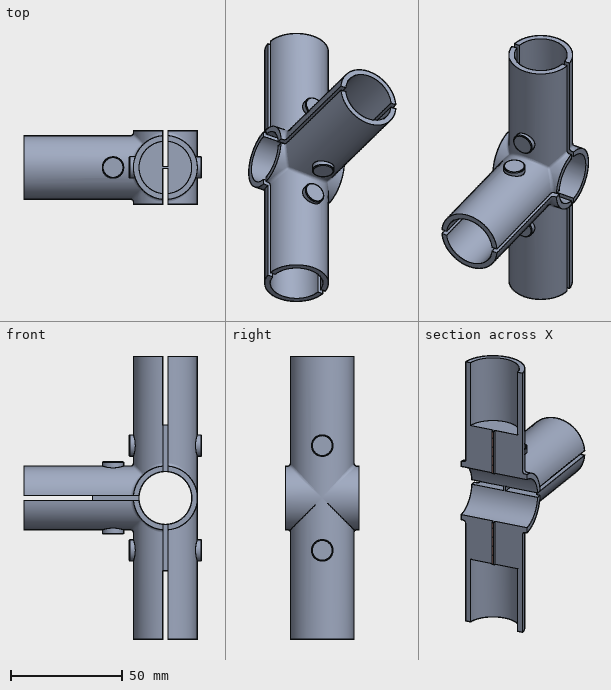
import cadquery as cq

tube_diameter = 28.7
bore_diameter = 23.6
arm_length = 63.5
hub_length = 33.0
plug_end = 32.8
slot_width = 2.2
web_thickness = 1.0
crease_radius = 1.3
pad_diameter = 9.7
pad_reach = 16.3
pad_position = 23.5
pad_edge = 0.4

slot_depth = (hub_length - web_thickness) / 2
slot_offset = (hub_length + web_thickness) / 4

origin = cq.Vector(0, 0, 0)
x_axis = cq.Vector(1, 0, 0)
y_axis = cq.Vector(0, 1, 0)
z_axis = cq.Vector(0, 0, 1)
arm_directions = (-x_axis, z_axis, -z_axis)


def cylinder(diameter, start, end, direction):
    """Round bar along a direction, between two distances from the origin."""
    solid = cq.Solid.makeCylinder(diameter / 2, end - start, origin + direction * start, direction)
    return cq.Workplane(obj=solid)


def pad(arm, side):
    """Round pad on one side of an arm, with its outer edge broken."""
    base = arm * pad_position
    solid = cq.Solid.makeCylinder(pad_diameter / 2, pad_reach, base, side)
    outer_edge = max(solid.Edges(), key=lambda edge: edge.Center().dot(side))
    return cq.Workplane(obj=solid.chamfer(pad_edge, None, [outer_edge]))


def slot(arm, y_side):
    """Slot along an arm, cut from one Y face down to the central web."""
    along_x = arm_length if arm.x else slot_width
    along_z = arm_length if arm.z else slot_width
    centre = arm * (arm_length / 2) + y_axis * (y_side * slot_offset)
    return cq.Workplane().box(along_x, slot_depth, along_z).translate(centre)


crossing = cylinder(tube_diameter, -arm_length, arm_length, z_axis)
crossing = crossing.union(cylinder(tube_diameter, -hub_length / 2, hub_length / 2, y_axis))
crossing = crossing.union(cylinder(tube_diameter, 0, arm_length, -x_axis))
creases = [edge for edge in crossing.edges().vals() if edge.geomType() == "ELLIPSE"]
blended = crossing.newObject(creases).fillet(crease_radius)

sharp_corner = cq.Workplane().box(arm_length, hub_length, arm_length)
sharp_corner = sharp_corner.translate((arm_length / 2, 0, -arm_length / 2))
result = blended.cut(sharp_corner).union(crossing.intersect(sharp_corner))

for arm in arm_directions:
    side = z_axis if arm.x else x_axis
    result = result.union(pad(arm, side)).union(pad(arm, -side))

for arm in arm_directions:
    result = result.cut(cylinder(bore_diameter, plug_end, arm_length, arm))
result = result.cut(cylinder(bore_diameter, -hub_length / 2, hub_length / 2, y_axis))

for arm in arm_directions:
    for y_side in (-1, 1):
        result = result.cut(slot(arm, y_side))